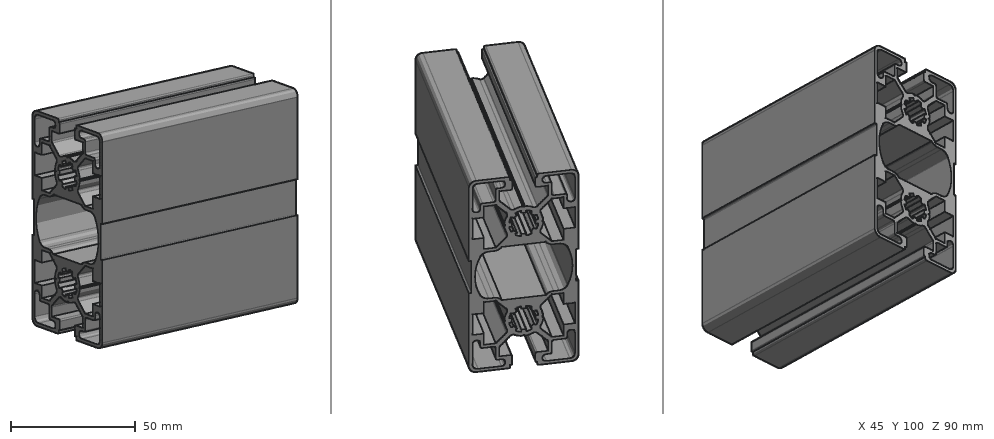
import cadquery as cq
import math

width = 45.0
length = 100.0
height = 90.0
corner_radius = 3.0

match_tolerance = 0.01

module = width / 2
core_z = height / 2 - module
wall = 1.5

slot_half_opening = 4.8
slot_half_width = 10.0
slot_floor = 10.0
slot_lip = 6.2
mouth_half_width = 5.6
mouth_depth = 1.5
lip_rounding = 0.6
step_rounding = 0.4
slot_corner_radius = 1.0
lip_inner = module - slot_lip

core_radius = 8.0
web_offset_open = 1.8
web_offset_closed = 1.5
web_root_fillet = 1.5
core_mark_half_width = 0.5
core_mark_depth = 0.4
bore_radius = 6.1
tooth_count = 8
tooth_width = 2.0
tooth_reach = 4.9
tooth_root_fillet = 0.4

finger_end = 7.6
finger_width = 3.2
hollow_outer_radius = 2.2
hollow_step_radius = 0.8
hollow_inner_radius = 1.0

chamber_radius = 20.0
chamber_corner_radius = 4.0
chamber_shoulder_z = core_z - slot_floor - wall
chamber_roof_z = core_z - slot_floor
chamber_roof_half_width = 9.0
chamber_shoulder_fillet = 4.0

relief_depth = 1.0
relief_half_height = 7.5
relief_root_fillet = 0.3


def prism(outline):
    """Extrude a closed XZ outline over the full length."""
    return outline.extrude(length / 2, both=True)


def plane_at(z=0):
    """Front plane with its origin raised to the given Z."""
    return cq.Workplane("XZ").center(0, z)


def mirror_x(body):
    """Join a body with its mirror image across the YZ plane."""
    return body.union(body.mirror("YZ"))


def round_edges(body, points, radius):
    """Round the lengthwise edges that pass through the given (x, z) points."""
    picked = body.edges("|Y").filter(
        lambda edge: any(
            math.hypot(edge.Center().x - x, edge.Center().z - z) < match_tolerance for x, z in points
        )
    )
    return picked.fillet(radius)


def core_web_corner(offset):
    """Point (across, along) where the web line 'along = across + offset' meets the core ring."""
    across = (math.sqrt(2 * core_radius**2 - offset**2) - offset) / 2
    return across, across + offset


def core_mark():
    """Small V-groove along the crown of the core ring."""
    return prism(
        plane_at()
        .moveTo(-core_mark_half_width, core_radius)
        .lineTo(core_mark_half_width, core_radius)
        .lineTo(0, core_radius - core_mark_depth)
        .close()
    )


def top_slot():
    """Open T-slot of the upper module, ending on the core ring."""
    top = module
    step = module - mouth_depth
    web_top = slot_half_width + web_offset_open
    root_x, root_z = core_web_corner(web_offset_open)
    cutter = prism(
        plane_at()
        .moveTo(-mouth_half_width, top)
        .lineTo(-mouth_half_width, step)
        .lineTo(-slot_half_opening, step)
        .lineTo(-slot_half_opening, lip_inner)
        .lineTo(-slot_half_width, lip_inner)
        .lineTo(-slot_half_width, web_top)
        .lineTo(-root_x, root_z)
        .threePointArc((0, core_radius), (root_x, root_z))
        .lineTo(slot_half_width, web_top)
        .lineTo(slot_half_width, lip_inner)
        .lineTo(slot_half_opening, lip_inner)
        .lineTo(slot_half_opening, step)
        .lineTo(mouth_half_width, step)
        .lineTo(mouth_half_width, top)
        .close()
    )
    roundings = [
        (root_x, root_z, web_root_fillet),
        (slot_half_width, web_top, slot_corner_radius),
        (slot_half_opening, lip_inner, lip_rounding),
        (slot_half_opening, step, step_rounding),
    ]
    for x, z, radius in roundings:
        cutter = round_edges(cutter, [(-x, z), (x, z)], radius)
    return cutter.union(core_mark())


def side_slot():
    """Closed T-slot beside the core, behind the side wall."""
    outer = module - wall
    web_start = slot_floor + web_offset_closed
    root_z, root_x = core_web_corner(web_offset_closed)
    cutter = prism(
        plane_at()
        .moveTo(outer, -slot_half_opening)
        .lineTo(outer, slot_half_opening)
        .lineTo(lip_inner, slot_half_opening)
        .lineTo(lip_inner, slot_floor)
        .lineTo(web_start, slot_floor)
        .lineTo(root_x, root_z)
        .threePointArc((core_radius, 0), (root_x, -root_z))
        .lineTo(web_start, -slot_floor)
        .lineTo(lip_inner, -slot_floor)
        .lineTo(lip_inner, -slot_half_opening)
        .close()
    )
    cutter = round_edges(cutter, [(root_x, -root_z), (root_x, root_z)], web_root_fillet)
    return cutter.union(core_mark().rotate((0, 0, 0), (0, 1, 0), 90))


def corner_hollow():
    """Stepped hollow with two round-ended fingers, symmetric about the corner diagonal."""
    outer = module - wall
    finger_inner = outer - finger_width
    step = slot_half_width + wall
    finger_radius = finger_width / 2
    finger_middle = outer - finger_radius
    finger_root = finger_end + finger_radius
    cutter = prism(
        plane_at()
        .moveTo(outer, outer)
        .lineTo(finger_root, outer)
        .threePointArc((finger_end, finger_middle), (finger_root, finger_inner))
        .lineTo(step, finger_inner)
        .lineTo(step, step)
        .lineTo(finger_inner, step)
        .lineTo(finger_inner, finger_root)
        .threePointArc((finger_middle, finger_end), (outer, finger_root))
        .close()
    )
    cutter = round_edges(cutter, [(outer, outer)], hollow_outer_radius)
    cutter = round_edges(cutter, [(step, step)], hollow_inner_radius)
    steps = [(step, finger_inner), (finger_inner, step)]
    return round_edges(cutter, steps, hollow_step_radius)


def splined_bore():
    """Screw bore with flat-topped teeth pointing at its axis and rounded tooth roots."""
    bore = prism(plane_at().circle(bore_radius))
    tooth_height = core_radius - tooth_reach
    tooth = prism(plane_at(tooth_reach + tooth_height / 2).rect(tooth_width, tooth_height))
    for index in range(tooth_count):
        angle = index * 360 / tooth_count
        bore = bore.cut(tooth.rotate((0, 0, 0), (0, 1, 0), angle))
    root_half_width = tooth_width / 2
    root_height = math.sqrt(bore_radius**2 - root_half_width**2)
    root_angle = math.atan2(root_half_width, root_height)
    roots = []
    for index in range(tooth_count):
        for side in (-root_angle, root_angle):
            angle = index * 2 * math.pi / tooth_count + side
            roots.append((bore_radius * math.sin(angle), bore_radius * math.cos(angle)))
    return round_edges(bore, roots, tooth_root_fillet)


def central_chamber():
    """Barrel-sided chamber between the modules, with a raised roof and floor."""
    barrel = prism(plane_at().circle(chamber_radius))
    shoulders = prism(plane_at().rect(2 * chamber_radius, 2 * chamber_shoulder_z))
    chamber = barrel.intersect(shoulders).edges("|Y").fillet(chamber_corner_radius)
    rise = chamber_roof_z - chamber_shoulder_z
    foot = chamber_roof_half_width + rise
    raised = prism(
        plane_at()
        .moveTo(-foot, 0)
        .lineTo(-foot, chamber_shoulder_z)
        .lineTo(-chamber_roof_half_width, chamber_roof_z)
        .lineTo(chamber_roof_half_width, chamber_roof_z)
        .lineTo(foot, chamber_shoulder_z)
        .lineTo(foot, 0)
        .close()
    )
    chamber = chamber.union(raised).union(raised.mirror("XY")).clean()
    feet = [(x, z) for x in (-foot, foot) for z in (-chamber_shoulder_z, chamber_shoulder_z)]
    return round_edges(chamber, feet, chamber_shoulder_fillet)


def side_relief():
    """Shallow recess in the +X side face, with rounded inner corners."""
    cutter = prism(
        plane_at().center(width / 2, 0).rect(2 * relief_depth, 2 * relief_half_height)
    )
    return cutter.edges("|Y").edges("<X").fillet(relief_root_fillet)


result = prism(plane_at().rect(width, height)).edges("|Y").fillet(corner_radius)

module_cutters = [
    top_slot(),
    mirror_x(side_slot()),
    mirror_x(corner_hollow()),
    splined_bore(),
]
for cutter in module_cutters:
    upper = cutter.translate((0, 0, core_z))
    result = result.cut(upper).cut(upper.mirror("XY"))

result = result.cut(central_chamber()).cut(mirror_x(side_relief()))

mouth_corners = [
    (x, z) for x in (-mouth_half_width, mouth_half_width) for z in (-height / 2, height / 2)
]
result = round_edges(result, mouth_corners, lip_rounding)